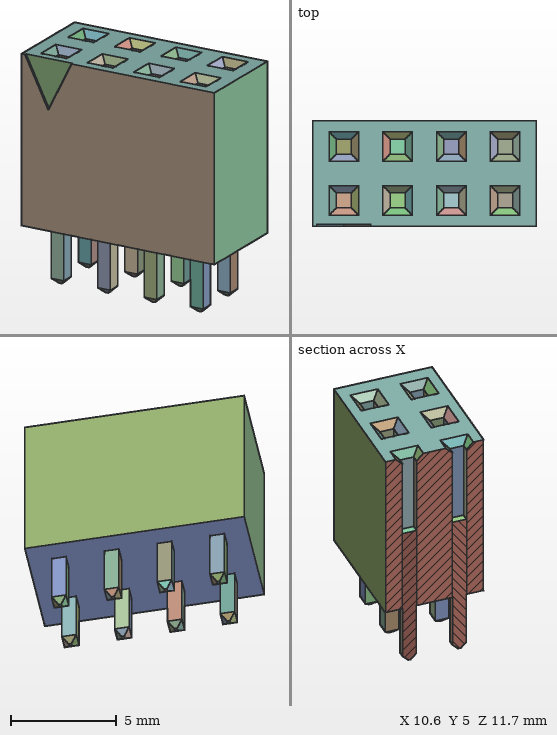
import cadquery as cq

columns = 4
rows = 2
pitch = 2.54

housing_length = 10.55
housing_width = 5.0
housing_height = 8.65

pin_width = 0.7
mouth_width = 1.4
mouth_depth = (mouth_width - pin_width) / 2

total_height = 11.65
pin_projection = total_height - housing_height
pin_top = housing_height / 2
tip_length = 0.28
tip_width = pin_width - 2 * tip_length

mark_size = pitch
mark_depth = 0.1

contact_positions = [
    ((column - (columns - 1) / 2) * pitch, (row - (rows - 1) / 2) * pitch)
    for column in range(columns)
    for row in range(rows)
]


def make_square_taper(x, y, z, width, end_width, length):
    """Square frustum centred on (x, y), narrowing downwards from height z."""
    return (
        cq.Workplane("XY", origin=(x, y, z))
        .rect(width, width)
        .workplane(offset=-length)
        .rect(end_width, end_width)
        .loft(ruled=True)
    )


def make_first_contact_mark():
    """Shallow triangular prism in the -Y face, pointing down from the top edge."""
    first_column_x = contact_positions[0][0]
    return (
        cq.Workplane("XZ", origin=(0, -housing_width / 2, 0))
        .moveTo(first_column_x - mark_size / 2, housing_height)
        .lineTo(first_column_x + mark_size / 2, housing_height)
        .lineTo(first_column_x, housing_height - mark_size)
        .close()
        .extrude(-mark_depth)
    )


def make_housing():
    """Rectangular block with a flared passage through it for every contact."""
    block = cq.Workplane("XY").box(
        housing_length, housing_width, housing_height, centered=(True, True, False)
    )
    passages = (
        cq.Workplane("XY")
        .pushPoints(contact_positions)
        .rect(pin_width, pin_width)
        .extrude(housing_height)
    )
    block = block.cut(passages)
    for x, y in contact_positions:
        block = block.cut(make_square_taper(x, y, housing_height, mouth_width, pin_width, mouth_depth))
    return block.cut(make_first_contact_mark())


def make_pin(x, y):
    """Square pin with a blunt pyramid tip at its lower end."""
    shank_bottom = tip_length - pin_projection
    shank = (
        cq.Workplane("XY", origin=(x, y, shank_bottom))
        .rect(pin_width, pin_width)
        .extrude(pin_top - shank_bottom)
    )
    return shank.union(make_square_taper(x, y, shank_bottom, pin_width, tip_width, tip_length))


housing = make_housing()
pins = [make_pin(x, y) for x, y in contact_positions]

result = cq.Compound.makeCompound([housing.val(), *[pin.val() for pin in pins]])